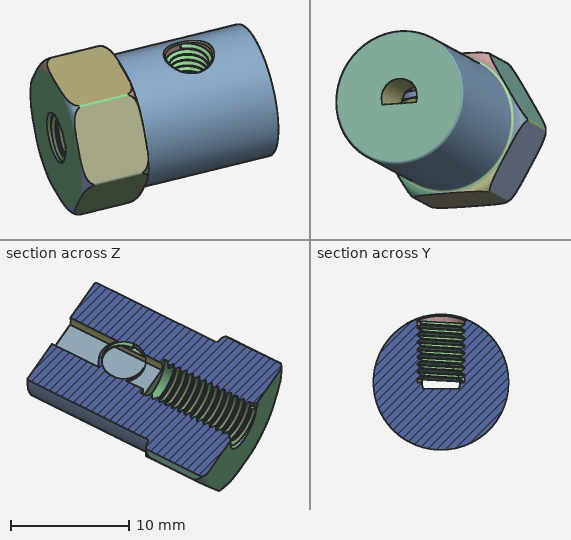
import cadquery as cq
import math

across_flats = 12.0
head_length = 6.0
corner_fillet = 0.25
corner_to_corner = 2 * (across_flats / math.sqrt(3) - corner_fillet * (2 / math.sqrt(3) - 1))
head_end_rounding = (corner_to_corner - across_flats) / 2

total_length = 18.0
barrel_length = total_length - head_length
barrel_radius = 11.5 / 2
barrel_fillet = 0.2

thread_major_radius = 2.0
thread_minor_radius = 1.69
thread_pitch = 0.625
crest_width = 0.11
flank_angle = math.radians(36)
root_overlap = 0.01
root_radius = thread_major_radius + root_overlap

bore_depth = total_length / 2
bore_mouth_radius = 2.25
bore_mouth_chamfer = bore_mouth_radius - thread_major_radius
bore_thread_turns = 13
mouth_ridge_turns = 0.5
mouth_ridge_setback = 0.002

shaft_radius = 1.6
shaft_flat_z = -0.54
shaft_bore_depth = total_length - bore_depth

screw_y = head_length + barrel_length / 2
screw_mouth_chamfer = 0.15
screw_thread_top = 4.95
screw_thread_turns = 7.5


def ridge_half_width(radius):
    """Half the axial width of the thread ridge at a given radius."""
    return crest_width / 2 + (radius - thread_minor_radius) * math.tan(flank_angle)


def make_ridge(outer_radius, start, turns):
    """Right-handed internal thread ridge climbing the Z axis from the +X side."""
    outer_half = ridge_half_width(outer_radius)
    crest_half = crest_width / 2
    profile = (
        cq.Workplane("XZ")
        .moveTo(thread_minor_radius, start - crest_half)
        .lineTo(outer_radius, start - outer_half)
        .lineTo(outer_radius, start + outer_half)
        .lineTo(thread_minor_radius, start + crest_half)
        .close()
    )
    helix = cq.Wire.makeHelix(thread_pitch, turns * thread_pitch, thread_minor_radius)
    return profile.sweep(cq.Workplane(obj=helix), isFrenet=True)


def along_y(shape):
    """Turn a shape built along +Z so that it runs along +Y."""
    return shape.rotate((0, 0, 0), (1, 0, 0), -90)


def make_head():
    """Hexagonal prism along Y, flats up and down, with its corners rounded off at both ends."""
    prism = (
        cq.Workplane("XZ")
        .polygon(6, across_flats, circumscribed=True)
        .extrude(-head_length)
        .edges("|Y")
        .fillet(corner_fillet)
        .rotate((0, 0, 0), (0, 1, 0), 30)
    )
    envelope = (
        cq.Workplane("XZ")
        .circle(corner_to_corner / 2)
        .extrude(-head_length)
        .faces("<Y or >Y")
        .edges()
        .fillet(head_end_rounding)
    )
    return prism.intersect(envelope)


def make_barrel():
    """Barrel revolved about Y, with a concave fillet at the head and a rounded free end."""
    return (
        cq.Workplane("XY")
        .moveTo(0, head_length)
        .lineTo(barrel_radius + barrel_fillet, head_length)
        .radiusArc((barrel_radius, head_length + barrel_fillet), barrel_fillet)
        .lineTo(barrel_radius, total_length - barrel_fillet)
        .radiusArc((barrel_radius - barrel_fillet, total_length), -barrel_fillet)
        .lineTo(0, total_length)
        .close()
        .revolve(360, (0, 0, 0), (0, 1, 0))
    )


def drill_screw_hole(barrel):
    """Plain set-screw hole with a chamfered rim where it breaks the barrel surface."""
    hole = (
        cq.Workplane("XY", origin=(0, screw_y, 0))
        .circle(thread_major_radius)
        .extrude(barrel_radius)
    )
    drilled = barrel.cut(hole)
    rim = cq.selectors.BoxSelector(
        (-thread_major_radius, screw_y - thread_major_radius, barrel_radius / 2),
        (thread_major_radius, screw_y + thread_major_radius, barrel_radius),
    )
    return drilled.edges(rim).chamfer(screw_mouth_chamfer)


def make_mouth_cone():
    cone = cq.Solid.makeCone(bore_mouth_radius, thread_major_radius, bore_mouth_chamfer)
    return cq.Workplane(cone)


def make_plain_bore():
    drill = cq.Workplane("XY").circle(thread_major_radius).extrude(bore_depth)
    return along_y(drill.union(make_mouth_cone()))


def make_bore_thread():
    """Bore ridge, widened outward at its start to fill the mouth chamfer."""
    start = ridge_half_width(root_radius)
    ridge = make_ridge(root_radius, start, bore_thread_turns)
    mouth_ridge = make_ridge(
        bore_mouth_radius + root_overlap, start + mouth_ridge_setback, mouth_ridge_turns
    )
    return along_y(ridge.union(mouth_ridge.intersect(make_mouth_cone())))


def make_shaft_bore():
    """Round bore with a flat floor, entering from the barrel end."""
    shaft_diameter = 2 * shaft_radius
    above_flat = cq.Workplane("XY", origin=(0, total_length, shaft_flat_z)).box(
        shaft_diameter, 2 * shaft_bore_depth, shaft_diameter, centered=(True, True, False)
    )
    return (
        cq.Workplane("XZ", origin=(0, total_length, 0))
        .circle(shaft_radius)
        .extrude(shaft_bore_depth)
        .intersect(above_flat)
    )


def make_screw_thread():
    """Set-screw ridge running downward from the -X side, ending inside the shaft bore."""
    ridge = make_ridge(root_radius, 0, screw_thread_turns)
    return ridge.rotate((0, 0, 0), (0, 1, 0), 180).translate((0, screw_y, screw_thread_top))


body = make_head().union(drill_screw_hole(make_barrel()))
body = body.cut(make_plain_bore()).cut(make_shaft_bore())
body = body.union(make_bore_thread()).union(make_screw_thread())
result = cq.Workplane(body.solids().val())